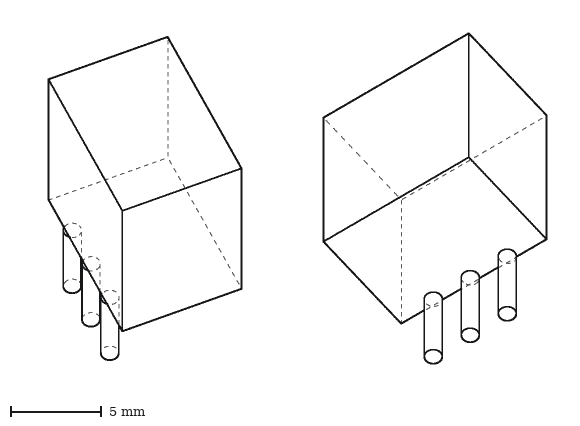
import cadquery as cq

overall_height = 16.1

housing_width = 10.0
housing_depth = 7.21
housing_height = 11.0

pin_diameter = 1.0
pin_length = overall_height - housing_height
pin_pitch = 2.55
pin_count = 3
pin_overhang = 0.16

pin_y = -housing_depth / 2 - pin_overhang + pin_diameter / 2


def make_housing():
    """Block centred on the Z axis, with its underside at Z = 0."""
    return cq.Workplane("XY").box(
        housing_width, housing_depth, housing_height, centered=(True, True, False)
    )


def make_pin(x):
    """Round pin hanging from the underside of the housing."""
    return cq.Workplane("XY").center(x, pin_y).circle(pin_diameter / 2).extrude(-pin_length)


housing = make_housing()

pins = []
for index in range(pin_count):
    pin_x = (index - (pin_count - 1) / 2) * pin_pitch
    pins.append(make_pin(pin_x))

result = cq.Compound.makeCompound([housing.val(), *[pin.val() for pin in pins]])